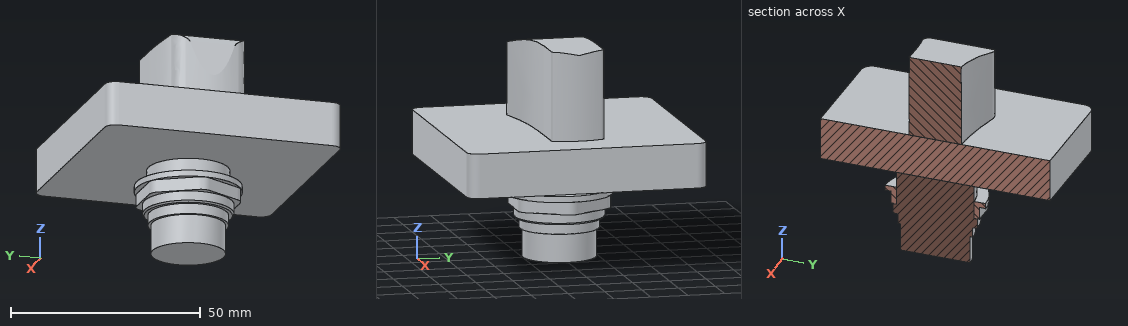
import cadquery as cq
import math

plate_side = 65.0
plate_thickness = 12.0
plate_corner_radius = 3.0

knob_end_radius = 22.0
knob_half_width = 7.1
flare_start_x = 12.2
flare_end_half_width = 10.8
flare_bulge = 0.25
wide_corner_radius = 3.95
narrow_corner_radius = 1.0

knob_height = 24.0
flat_top_start_x = 13.05
top_radius = 107.25
grip_base_x = -22.75
grip_lean = 0.1
grip_edge_radius = 2.5
back_edge_radius = 1.0

neck_radius = 11.0
collar_radius = 12.1
shoulder_radius = 10.65
tip_radius = 9.9
collar_bottom = 12.35
collar_chamfer = 0.45
shoulder_bottom = 15.15
tip_bottom = 22.95

flange_radius = 14.25
flange_top = 4.3
flange_bottom = 5.9
nut_bottom = 9.35
nut_across_flats = 25.15
nut_corner_radius = 3.0

plate_bottom_z = -plate_thickness


def make_plate():
    plate = cq.Workplane("XY").box(plate_side, plate_side, plate_thickness, centered=(True, True, False))
    return plate.translate((0, 0, plate_bottom_z)).edges("|Z").fillet(plate_corner_radius)


def knob_outline():
    """Upright prism with the plan outline of the knob."""
    narrow_end_x = math.sqrt(knob_end_radius**2 - knob_half_width**2)
    flare_end_x = -math.sqrt(knob_end_radius**2 - flare_end_half_width**2)
    third = (flare_start_x - flare_end_x) / 3
    flare = [
        (flare_start_x, knob_half_width),
        (flare_start_x - third, knob_half_width),
        (flare_start_x - 2 * third, knob_half_width + flare_bulge),
        (flare_end_x, flare_end_half_width),
    ]
    mirrored_flare = [(x, -y) for x, y in reversed(flare)]
    prism = (
        cq.Workplane("XY")
        .moveTo(narrow_end_x, knob_half_width)
        .lineTo(*flare[0])
        .bezier(flare)
        .threePointArc((-knob_end_radius, 0), mirrored_flare[0])
        .bezier(mirrored_flare)
        .lineTo(narrow_end_x, -knob_half_width)
        .threePointArc((knob_end_radius, 0), (narrow_end_x, knob_half_width))
        .close()
        .extrude(knob_height)
    )
    corners = prism.edges("|Z")
    wide_corners = corners.sort(lambda edge: edge.Center().x)[:2]
    prism = wide_corners.fillet(wide_corner_radius)
    corners = prism.edges("|Z")
    narrow_corners = corners.sort(lambda edge: edge.Center().x)[-2:]
    return narrow_corners.fillet(narrow_corner_radius)


def top_point(x):
    """Point of the curved knob top at a given X."""
    run = flat_top_start_x - x
    return x, knob_height - top_radius + math.sqrt(top_radius**2 - run**2)


def knob_profile():
    """Side profile of the knob, extruded well past both sides."""
    centre_z = knob_height - top_radius
    foot_run = grip_base_x + grip_lean * centre_z - flat_top_start_x
    square_term = 1 + grip_lean**2
    half_linear_term = foot_run * grip_lean
    constant_term = foot_run**2 - top_radius**2
    root = math.sqrt(half_linear_term**2 - square_term * constant_term)
    grip_rise = (root - half_linear_term) / square_term
    grip_top_x = flat_top_start_x + foot_run + grip_lean * grip_rise
    arc_middle_x = (grip_top_x + flat_top_start_x) / 2
    profile = (
        cq.Workplane("XZ")
        .moveTo(grip_base_x, 0)
        .lineTo(*top_point(grip_top_x))
        .threePointArc(top_point(arc_middle_x), top_point(flat_top_start_x))
        .lineTo(knob_end_radius, knob_height)
        .lineTo(knob_end_radius, 0)
        .close()
        .extrude(knob_end_radius, both=True)
    )
    back_edge = cq.selectors.NearestToPointSelector((knob_end_radius, 0, knob_height))
    grip_x, grip_z = top_point(grip_top_x)
    grip_edge = cq.selectors.NearestToPointSelector((grip_x, 0, grip_z))
    profile = profile.edges(back_edge).fillet(back_edge_radius)
    return profile.edges(grip_edge).fillet(grip_edge_radius)


def make_knob():
    return knob_outline().intersect(knob_profile())


def round_section(radius, top_depth, bottom_depth):
    """Cylinder on the Z axis between two depths below the plate."""
    section = cq.Workplane("XY").circle(radius).extrude(bottom_depth - top_depth)
    return section.translate((0, 0, plate_bottom_z - bottom_depth))


def make_stem():
    neck = round_section(neck_radius, 0, nut_bottom)
    collar = round_section(collar_radius, nut_bottom, collar_bottom).faces("<Z").chamfer(collar_chamfer)
    shoulder = round_section(shoulder_radius, collar_bottom, shoulder_bottom)
    tip = round_section(tip_radius, shoulder_bottom, tip_bottom)
    return neck.union(collar).union(shoulder).union(tip)


def make_nut():
    flange = round_section(flange_radius, flange_top, flange_bottom)
    across_corners = nut_across_flats / math.cos(math.pi / 6)
    hexagon = (
        cq.Workplane("XY")
        .polygon(6, across_corners)
        .extrude(nut_bottom - flange_bottom)
        .edges("|Z")
        .fillet(nut_corner_radius)
        .translate((0, 0, plate_bottom_z - nut_bottom))
    )
    bore = round_section(neck_radius, flange_top, nut_bottom)
    return flange.union(hexagon).cut(bore)


plate = make_plate()
knob = make_knob()
stem = make_stem()
nut = make_nut()

result = cq.Compound.makeCompound([body.solids().val() for body in (plate, knob, stem, nut)])